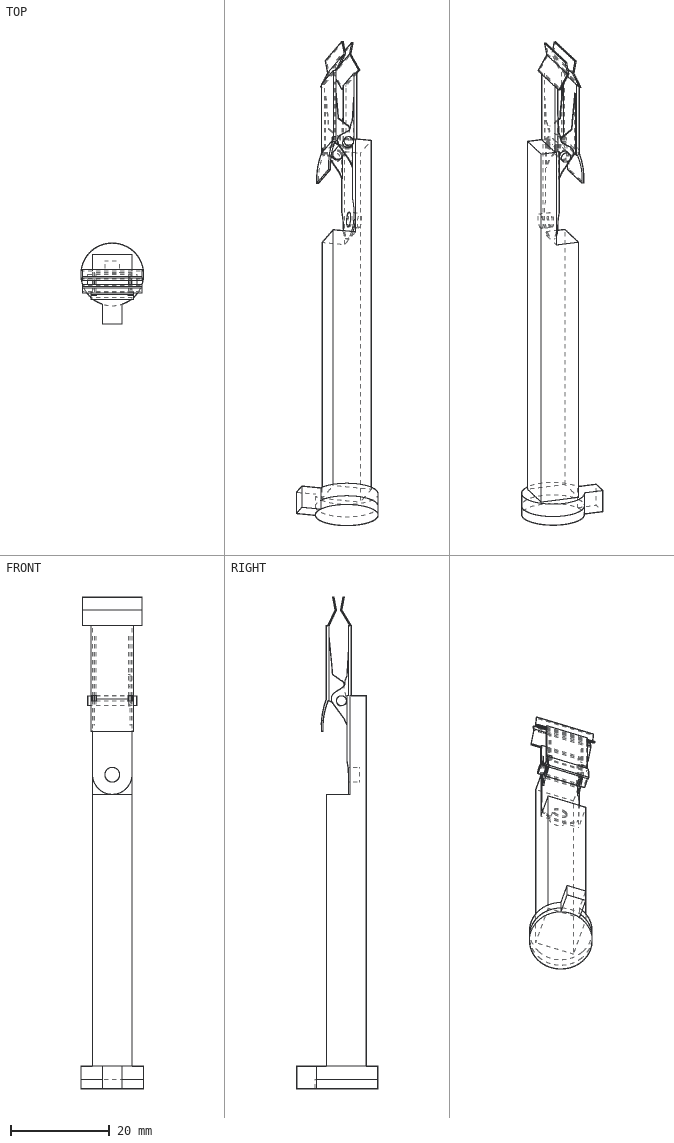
import cadquery as cq
import math

BASE_DIAMETER = 12.7
BASE_HEIGHT = 4.6
LOWER_DISC_HEIGHT = 1.9
KEY_WIDTH = 4.0
KEY_REACH = 10.0

POST_SIDE = 8.1
POST_TOP = 79.6
SHELF_Z = 59.6
SEAT_Y = 0.7

PLATE_THICKNESS = 0.6
EAR_THICKNESS = 0.3
HEAD_WIDTH = 12.1
HEAD_THICKNESS = 0.3
BEND_Z = 93.7
NECK_Z = 96.9
TIP_Z = 99.5

FIXED_WIDTH = 8.0
FIXED_BACK_Y = 1.0
FIXED_FRONT_Y = FIXED_BACK_Y - PLATE_THICKNESS
FIXED_NECK_Y = -0.9
FIXED_TIP_Y = -0.4
FIXED_EAR_OUTER_X = 3.9
FIXED_EAR_TOP_Z = 88.6
FIXED_EAR_TAPER_END = (0.1, 83.6)
FIXED_LOBE_CURVE = [(-0.3, 82.6), (-0.5, 81.6), (-2.4, 80.2), (-2.9, 78.2)]
FIXED_EAR_SLOPE_END = (-0.5, 74.9)
FIXED_EAR_BOTTOM_Z = 73.6
TAIL_FRONT_Y = SEAT_Y - PLATE_THICKNESS
TAB_THICKNESS = 0.3
TAB_FRONT_Y = SEAT_Y - TAB_THICKNESS
TAB_TOP_Z = 66.5
TAB_CENTER_Z = 63.6
RIVET_DIAMETER = 3.0
RIVET_DEPTH = 2.0

MOVING_WIDTH = 8.7
MOVING_BACK_Y = -3.5
MOVING_FRONT_Y = MOVING_BACK_Y - PLATE_THICKNESS
MOVING_NECK_Y = -2.0
MOVING_TIP_Y = -2.5
MOVING_EAR_OUTER_X = FIXED_EAR_OUTER_X - EAR_THICKNESS
MOVING_EAR_TOP_Z = 91.5
MOVING_EAR_TAPER_END = (-2.9, 85.4)
MOVING_NOSE_FOOT = (-2.8, 83.9)
MOVING_NOSE_ARC = [(-1.1, 82.7), (-0.5, 82.2), (-0.5, 81.4)]
LEVER_THICKNESS = 0.4
LEVER_TOP_Z = 78.5
LEVER_END_Z = 72.3
LEVER_OUTER_MIDDLE = (-4.9, 75.9)
LEVER_INNER_MIDDLE = (-4.5, 75.8)
LEVER_END_Y = -5.1
RELIEF_WIDTH = 0.9
RELIEF_OUTER_X = 4.1
RELIEF_TOP_Z = 79.6

PIVOT_DIAMETER = 2.0
PIVOT_LENGTH = 9.95
PIVOT_Y = -1.0
PIVOT_RIM_RADIUS = 1.1
PIVOT_Z = 78.56


def box_between(x_range, y_range, z_range):
    """Box spanning the given low and high limits."""
    size = [high - low for low, high in (x_range, y_range, z_range)]
    corner = (x_range[0], y_range[0], z_range[0])
    return cq.Workplane("XY").box(*size, centered=False).translate(corner)


def extrude_across(profile, width):
    """Extrude a closed (y, z) profile symmetrically about the YZ plane."""
    return profile.extrude(width).translate((-width / 2, 0, 0))


def cylinder_along_x(diameter, length):
    """Cylinder on the pivot axis, centered on the YZ plane."""
    axis = cq.Workplane("YZ").center(PIVOT_Y, PIVOT_Z)
    return axis.circle(diameter / 2).extrude(length / 2, both=True)


def rivet_cylinder():
    """Cylinder flush with the tab face, running back into the post."""
    front = cq.Workplane("XZ", origin=(0, TAB_FRONT_Y, TAB_CENTER_Z))
    return front.circle(RIVET_DIAMETER / 2).extrude(-(TAB_THICKNESS + RIVET_DEPTH))


def make_lower_disc():
    return cq.Workplane("XY").circle(BASE_DIAMETER / 2).extrude(LOWER_DISC_HEIGHT)


def make_post():
    """Upper disc, full-height key and notched square post."""
    half = POST_SIDE / 2
    disc = cq.Workplane("XY").circle(BASE_DIAMETER / 2).extrude(BASE_HEIGHT)
    key = box_between((-KEY_WIDTH / 2, KEY_WIDTH / 2), (-KEY_REACH, 0), (0, BASE_HEIGHT))
    bar = box_between((-half, half), (-half, half), (BASE_HEIGHT, POST_TOP))
    notch = box_between((-half, half), (-half, SEAT_Y), (SHELF_Z, POST_TOP))
    body = disc.union(key).union(bar).cut(notch)
    return body.cut(make_lower_disc()).cut(rivet_cylinder())


def make_head(back_y, neck_y, tip_y):
    """Wide gripping strip, bent in to the neck and back out to the tip."""
    spine = [(back_y, BEND_Z), (neck_y, NECK_Z), (tip_y, TIP_Z)]
    other_side = [(y - HEAD_THICKNESS, z) for y, z in reversed(spine)]
    profile = cq.Workplane("YZ").polyline(spine + other_side).close()
    return extrude_across(profile, HEAD_WIDTH)


def make_ears(profile, outer_x):
    """Pair of mirrored side ears cut from a (y, z) profile."""
    whole = extrude_across(profile, 2 * outer_x)
    inner_x = outer_x - EAR_THICKNESS
    gap = box_between((-inner_x, inner_x), (-BASE_DIAMETER, BASE_DIAMETER), (0, TIP_Z))
    return whole.cut(gap)


def fixed_ear_profile():
    """Taper down the plate, a lobe around the pivot, and a slope back to the tail."""
    return (
        cq.Workplane("YZ")
        .moveTo(FIXED_FRONT_Y, FIXED_EAR_TOP_Z)
        .lineTo(*FIXED_EAR_TAPER_END)
        .lineTo(*FIXED_LOBE_CURVE[0])
        .spline(FIXED_LOBE_CURVE[1:], includeCurrent=True)
        .lineTo(*FIXED_EAR_SLOPE_END)
        .lineTo(TAIL_FRONT_Y, FIXED_EAR_BOTTOM_Z)
        .lineTo(SEAT_Y, FIXED_EAR_BOTTOM_Z)
        .lineTo(SEAT_Y, POST_TOP)
        .lineTo(FIXED_FRONT_Y, POST_TOP)
        .close()
    )


def moving_ear_profile():
    """Taper down the plate, a nose above the pivot, and a round rim under it."""
    rim_diagonal = PIVOT_RIM_RADIUS * math.sqrt(0.5)
    rim_bottom = (PIVOT_Y, PIVOT_Z - PIVOT_RIM_RADIUS)
    rim_end = (PIVOT_Y - rim_diagonal, PIVOT_Z - rim_diagonal)
    return (
        cq.Workplane("YZ")
        .moveTo(MOVING_BACK_Y, MOVING_EAR_TOP_Z)
        .lineTo(*MOVING_EAR_TAPER_END)
        .lineTo(*MOVING_NOSE_FOOT)
        .lineTo(*MOVING_NOSE_ARC[0])
        .threePointArc(*MOVING_NOSE_ARC[1:])
        .lineTo(PIVOT_Y + PIVOT_RIM_RADIUS, PIVOT_Z)
        .threePointArc(rim_bottom, rim_end)
        .lineTo(MOVING_BACK_Y, LEVER_TOP_Z)
        .close()
    )


def make_fixed_jaw():
    blend_middle = (
        TAB_FRONT_Y + (TAIL_FRONT_Y - TAB_FRONT_Y) / 4,
        (TAB_CENTER_Z + TAB_TOP_Z) / 2,
    )
    plate = extrude_across(
        cq.Workplane("YZ")
        .moveTo(FIXED_BACK_Y, BEND_Z)
        .lineTo(FIXED_BACK_Y, POST_TOP)
        .lineTo(SEAT_Y, POST_TOP)
        .lineTo(SEAT_Y, TAB_CENTER_Z)
        .lineTo(TAB_FRONT_Y, TAB_CENTER_Z)
        .threePointArc(blend_middle, (TAIL_FRONT_Y, TAB_TOP_Z))
        .lineTo(TAIL_FRONT_Y, POST_TOP)
        .lineTo(FIXED_FRONT_Y, POST_TOP)
        .lineTo(FIXED_FRONT_Y, BEND_Z)
        .close(),
        FIXED_WIDTH,
    )
    tab_plane = cq.Workplane("XZ", origin=(0, TAB_FRONT_Y, TAB_CENTER_Z))
    tab_end = tab_plane.circle(FIXED_WIDTH / 2).extrude(-TAB_THICKNESS)
    head = make_head(FIXED_BACK_Y, FIXED_NECK_Y, FIXED_TIP_Y)
    ears = make_ears(fixed_ear_profile(), FIXED_EAR_OUTER_X)
    body = plate.union(tab_end).union(head).union(ears)
    rivet_hole = (
        tab_plane.circle(RIVET_DIAMETER / 2).extrude(PLATE_THICKNESS, both=True)
    )
    return body.cut(rivet_hole).cut(cylinder_along_x(PIVOT_DIAMETER, PIVOT_LENGTH))


def make_moving_jaw():
    half = MOVING_WIDTH / 2
    plate = box_between((-half, half), (MOVING_FRONT_Y, MOVING_BACK_Y), (LEVER_TOP_Z, BEND_Z))
    lever = extrude_across(
        cq.Workplane("YZ")
        .moveTo(MOVING_FRONT_Y, LEVER_TOP_Z + LEVER_THICKNESS)
        .threePointArc(LEVER_OUTER_MIDDLE, (LEVER_END_Y, LEVER_END_Z))
        .lineTo(LEVER_END_Y + LEVER_THICKNESS, LEVER_END_Z)
        .threePointArc(LEVER_INNER_MIDDLE, (MOVING_FRONT_Y + LEVER_THICKNESS, LEVER_TOP_Z))
        .close(),
        MOVING_WIDTH,
    )
    head = make_head(MOVING_BACK_Y, MOVING_NECK_Y, MOVING_TIP_Y)
    ears = make_ears(moving_ear_profile(), MOVING_EAR_OUTER_X)
    body = plate.union(lever).union(head).union(ears)
    for inner_x in (-RELIEF_OUTER_X, RELIEF_OUTER_X - RELIEF_WIDTH):
        body = body.cut(box_between(
            (inner_x, inner_x + RELIEF_WIDTH),
            (LEVER_END_Y, MOVING_BACK_Y),
            (LEVER_TOP_Z, RELIEF_TOP_Z),
        ))
    return body.cut(cylinder_along_x(PIVOT_DIAMETER, PIVOT_LENGTH))


lower_disc = make_lower_disc()
post = make_post()
fixed_jaw = make_fixed_jaw()
moving_jaw = make_moving_jaw()
pivot_pin = cylinder_along_x(PIVOT_DIAMETER, PIVOT_LENGTH)
rivet = rivet_cylinder()

result = cq.Compound.makeCompound([
    lower_disc.val(),
    post.val(),
    fixed_jaw.val(),
    moving_jaw.val(),
    pivot_pin.val(),
    rivet.val(),
])